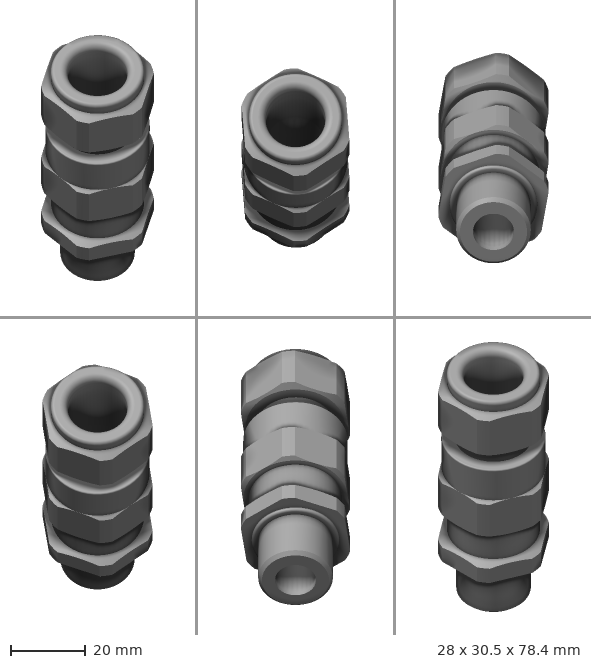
import cadquery as cq
import math


across_flats = 28.0
corner_radius = 15.25

thread_end_z = 0.0
washer_bottom_z = 15.1
entry_hex_bottom_z = 16.0
entry_hex_top_z = 22.2
mid_bottom_z = 32.1
mid_hex_top_z = 44.65
mid_top_z = 55.4
nut_bottom_z = 60.9
nut_hex_top_z = 75.1
tube_top_z = 75.6
nut_top_z = 78.4

thread_radius = 10.0
thread_chamfer = 1.0
entry_barrel_radius = 12.5
entry_hex_chamfer_height = 1.1
entry_counterbore_radius = 6.65
entry_counterbore_mouth_radius = 6.9
entry_counterbore_depth = 6.0
entry_bore_top_radius = 5.9
entry_bore_bottom_radius = 5.5

washer_radius = 11.75
washer_edge_round = 0.7

mid_barrel_radius = across_flats / 2
mid_barrel_edge_round = 0.4
mid_hex_chamfer_height = 0.6
mid_bore_bottom_radius = entry_counterbore_mouth_radius

neck_radius = 10.5
neck_bore_radius = 8.0

nut_collar_radius = 12.5
nut_collar_edge_round = 1.0
nut_mouth_round = 2.0
nut_hex_top_chamfer_height = 0.95
nut_hex_bottom_face_radius = 13.3
nut_hex_bottom_chamfer_height = 0.95


def cylinder(radius, bottom_z, top_z):
    return cq.Workplane("XY").workplane(offset=bottom_z).circle(radius).extrude(top_z - bottom_z)


def cone(bottom_radius, top_radius, bottom_z, top_z):
    outline = [(0, bottom_z), (bottom_radius, bottom_z), (top_radius, top_z), (0, top_z)]
    return cq.Workplane("XZ").polyline(outline).close().revolve(360, (0, 0), (0, 1))


def hexagon(bottom_z, top_z, bottom_chamfer=None, top_chamfer=None):
    """Hexagonal prism with flats facing +/-X and corners turned to the corner radius.

    A chamfer is a pair: the radius it leaves on the end face and its height at the corner radius.
    """
    prism = (
        cq.Workplane("XY")
        .workplane(offset=bottom_z)
        .polygon(6, across_flats / math.cos(math.pi / 6))
        .extrude(top_z - bottom_z)
        .rotate((0, 0, 0), (0, 0, 1), 30)
    )
    blank = cylinder(corner_radius, bottom_z, top_z)
    if bottom_chamfer:
        face_radius, height = bottom_chamfer
        blank = blank.faces("<Z").chamfer(height, corner_radius - face_radius)
    if top_chamfer:
        face_radius, height = top_chamfer
        blank = blank.faces(">Z").chamfer(height, corner_radius - face_radius)
    return prism.intersect(blank)


def make_entry_fitting():
    """Threaded spigot, hexagon and barrel with a stepped bore."""
    spigot = cylinder(thread_radius, thread_end_z, entry_hex_bottom_z).faces("<Z").chamfer(thread_chamfer)
    hex_flange = hexagon(
        entry_hex_bottom_z, entry_hex_top_z, top_chamfer=(entry_barrel_radius, entry_hex_chamfer_height)
    )
    barrel = cylinder(entry_barrel_radius, entry_hex_top_z, mid_bottom_z)
    shoulder_z = mid_bottom_z - entry_counterbore_depth
    mouth_chamfer = entry_counterbore_mouth_radius - entry_counterbore_radius
    counterbore = cylinder(entry_counterbore_radius, shoulder_z, mid_bottom_z)
    mouth = cone(
        entry_counterbore_radius, entry_counterbore_mouth_radius, mid_bottom_z - mouth_chamfer, mid_bottom_z
    )
    bore = cone(entry_bore_bottom_radius, entry_bore_top_radius, thread_end_z, shoulder_z)
    return spigot.union(hex_flange).union(barrel).cut(counterbore).cut(mouth).cut(bore)


def make_washer():
    """Ring around the thread, seated under the entry hexagon."""
    disc = cylinder(washer_radius, washer_bottom_z, entry_hex_bottom_z)
    disc = disc.faces("<Z").edges().fillet(washer_edge_round)
    return disc.cut(cylinder(thread_radius, washer_bottom_z, entry_hex_bottom_z))


def make_mid_body():
    """Hexagon below a round barrel, with a slightly tapered bore."""
    hex_chamfer = (mid_barrel_radius, mid_hex_chamfer_height)
    hex_part = hexagon(mid_bottom_z, mid_hex_top_z, hex_chamfer, hex_chamfer)
    barrel = cylinder(mid_barrel_radius, mid_hex_top_z, mid_top_z)
    barrel = barrel.faces(">Z").edges().fillet(mid_barrel_edge_round)
    bore = cone(mid_bore_bottom_radius, neck_bore_radius, mid_bottom_z, mid_top_z)
    return hex_part.union(barrel).cut(bore)


def make_neck_tube():
    """Plain tube from the middle body up to the shoulder inside the nut."""
    bore = cylinder(neck_bore_radius, mid_top_z, tube_top_z)
    return cylinder(neck_radius, mid_top_z, tube_top_z).cut(bore)


def make_nut():
    """Hexagon with a round collar on top and a flared mouth above the tube shoulder."""
    hex_part = hexagon(
        nut_bottom_z,
        nut_hex_top_z,
        bottom_chamfer=(nut_hex_bottom_face_radius, nut_hex_bottom_chamfer_height),
        top_chamfer=(nut_collar_radius, nut_hex_top_chamfer_height),
    )
    collar = cylinder(nut_collar_radius, nut_hex_top_z, nut_top_z)
    collar = collar.faces(">Z").edges().fillet(nut_collar_edge_round)
    blank = hex_part.union(collar).cut(cylinder(neck_bore_radius, nut_bottom_z, nut_top_z))
    flared = blank.faces(">Z").edges(cq.selectors.RadiusNthSelector(0)).fillet(nut_mouth_round)
    return flared.cut(cylinder(neck_radius, nut_bottom_z, tube_top_z))


entry_fitting = make_entry_fitting()
washer = make_washer()
mid_body = make_mid_body()
neck_tube = make_neck_tube()
nut = make_nut()

result = cq.Compound.makeCompound(
    [entry_fitting.val(), washer.val(), mid_body.val(), neck_tube.val(), nut.val()]
)